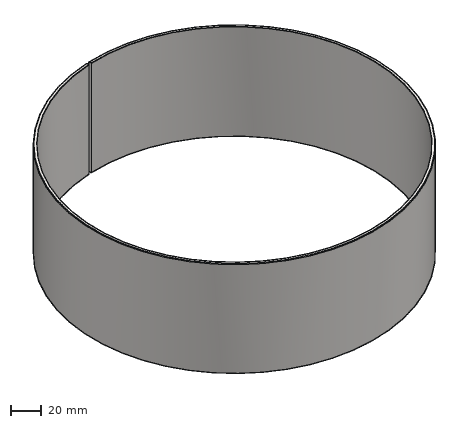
import cadquery as cq

outer_diameter = 265.0
wall_thickness = 2.5
height = 90.0
split_angle = 1.0
outer_rim_chamfer = 0.5
inner_rim_chamfer = 0.2

outer_radius = outer_diameter / 2
middle_radius = outer_radius - wall_thickness / 2

section = (
    cq.Sketch()
    .push([(-middle_radius, height / 2)])
    .rect(wall_thickness, height)
    .reset()
    .vertices("<X")
    .chamfer(outer_rim_chamfer)
    .reset()
    .vertices(">X")
    .chamfer(inner_rim_chamfer)
)

result = (
    cq.Workplane("XZ")
    .placeSketch(section)
    .revolve(360 - split_angle, (0, 0, 0), (0, 1, 0))
)